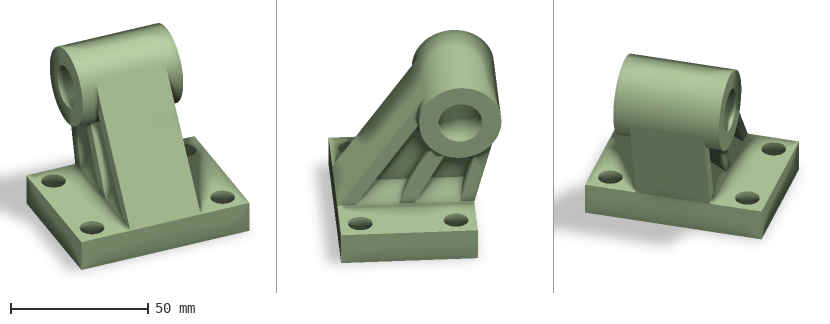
import cadquery as cq
import math

base_length = 50.0
base_width = 67.0
base_height = 12.0
hole_diameter = 9.0
hole_edge_distance = 7.5

barrel_radius = 15.0
bore_diameter = 16.0
barrel_length = 40.0
barrel_x = 5.5
barrel_z = 50.0

rib_thickness = 5.0
rib_width = 28.0
middle_rib_tilt = 28.8
web_thickness = 15.0
base_chamfer = 7.0
barrel_chamfer = 3.0


def tangent_point(x, z, side):
    """Point where a line from (x, z) touches the barrel; side is +1 (right) or -1 (left)."""
    dx = x - barrel_x
    dz = z - barrel_z
    half_angle = math.acos(barrel_radius / math.hypot(dx, dz))
    angle = math.atan2(dz, dx) + side * half_angle
    return (
        barrel_x + barrel_radius * math.cos(angle),
        barrel_z + barrel_radius * math.sin(angle),
    )


left_foot = (0.0, base_height)
right_foot = (base_length, base_height)
left_tangent = tangent_point(*left_foot, -1)
right_tangent = tangent_point(*right_foot, 1)


def prism(points, width):
    """XZ outline extruded symmetrically about the Y = 0 plane."""
    return cq.Workplane("XZ").polyline(points).close().extrude(width / 2, both=True)


def support_prism(width):
    """Full outline of the support, its sides tangent to the barrel."""
    outline = [left_foot, right_foot, right_tangent, (barrel_x, barrel_z), left_tangent]
    return prism(outline, width)


def make_rib(start, end, left_offset, right_offset):
    """Rib along start-end, reaching the given distances to the left and right of that line."""
    dx = end[0] - start[0]
    dz = end[1] - start[1]
    length = math.hypot(dx, dz)
    along = (dx / length, dz / length)
    right = (along[1], -along[0])
    low = (start[0] - along[0] * rib_thickness, start[1] - along[1] * rib_thickness)

    def shifted(point, distance):
        return (point[0] + right[0] * distance, point[1] + right[1] * distance)

    corners = [
        shifted(low, -left_offset),
        shifted(low, right_offset),
        shifted(end, right_offset),
        shifted(end, -left_offset),
    ]
    return prism(corners, rib_width)


def make_base():
    plate = cq.Workplane("XY").box(
        base_length, base_width, base_height, centered=(False, True, False)
    )
    spacing_x = base_length - 2 * hole_edge_distance
    spacing_y = base_width - 2 * hole_edge_distance
    return (
        plate.faces(">Z")
        .workplane(origin=(base_length / 2, 0, base_height))
        .rect(spacing_x, spacing_y, forConstruction=True)
        .vertices()
        .hole(hole_diameter)
    )


def make_ribs():
    middle_foot = (base_length / 2, base_height)
    rise = barrel_z - base_height
    middle_top = (middle_foot[0] - rise * math.tan(math.radians(middle_rib_tilt)), barrel_z)
    left_rib = make_rib(left_foot, left_tangent, 0, rib_thickness)
    right_rib = make_rib(right_foot, right_tangent, rib_thickness, 0)
    middle_rib = make_rib(middle_foot, middle_top, rib_thickness / 2, rib_thickness / 2)
    return left_rib.union(right_rib).union(middle_rib)


def make_base_bevel():
    """Wedge running along X that widens the web towards the base."""
    top_half = web_thickness / 2
    foot_half = top_half + base_chamfer
    top_z = base_height + base_chamfer
    section = [
        (-foot_half, base_height),
        (foot_half, base_height),
        (top_half, top_z),
        (-top_half, top_z),
    ]
    return cq.Workplane("YZ").polyline(section).close().extrude(base_length)


def make_barrel_bevel():
    """Collar that widens the web towards the barrel."""
    inner_half = web_thickness / 2
    outer_half = inner_half + barrel_chamfer
    collar_radius = barrel_radius + barrel_chamfer
    section = [
        (0, -outer_half),
        (barrel_radius, -outer_half),
        (collar_radius, -inner_half),
        (collar_radius, inner_half),
        (barrel_radius, outer_half),
        (0, outer_half),
    ]
    collar = cq.Workplane("XY").polyline(section).close().revolve(360, (0, 0), (0, 1))
    return collar.translate((barrel_x, 0, barrel_z))


def make_support():
    filling = make_ribs().union(make_base_bevel()).union(make_barrel_bevel())
    trimmed = filling.intersect(support_prism(base_width))
    return trimmed.union(support_prism(web_thickness))


def make_cylinder(radius):
    return (
        cq.Workplane("XZ", origin=(barrel_x, barrel_length / 2, barrel_z))
        .circle(radius)
        .extrude(barrel_length)
    )


barrel = make_cylinder(barrel_radius)
bore = make_cylinder(bore_diameter / 2)
result = make_base().union(make_support()).union(barrel).cut(bore)